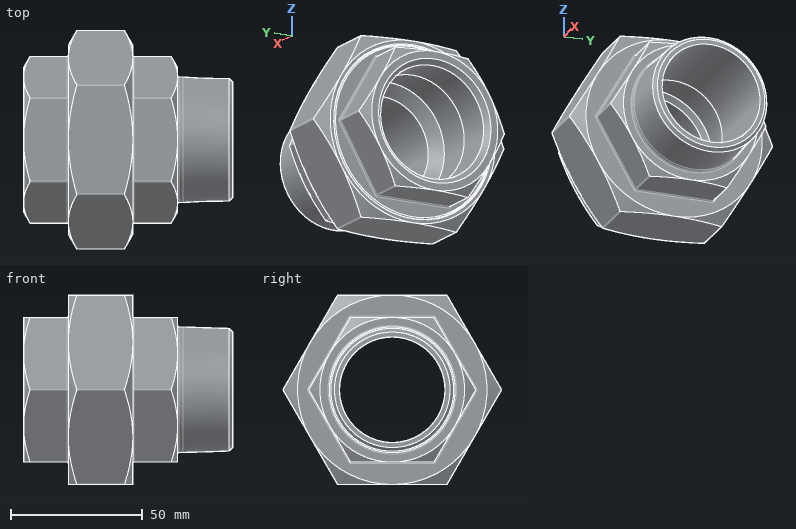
import cadquery as cq
import math


NUT_START = 17.0
NUT_END = 41.5
MALE_HEX_END = 58.5
TAPER_START = 60.5
TOTAL_LENGTH = 79.5

HEX_SIDES = 6
NUT_FLATS = 72.0
END_HEX_FLATS = 55.0
HEX_EDGE_RADIUS = 0.3
HEX_CHAMFER_ANGLE = 30.0
ENVELOPE_MARGIN = 1.0
ROOT_RADIUS = 0.5

COLLAR_RADIUS = 34.2
COLLAR_CHAMFER = 0.5
NUT_CLEARANCE = 0.3
CLEARANCE_DEPTH = 2.0

THREAD_RADIUS = 47.8 / 2
THREAD_TAPER = 1 / 16
THREAD_CHAMFER = 1.4

MOUTH_RADIUS = 24.5
FEMALE_THREAD_RADIUS = 22.45
FEMALE_THREAD_END = 17.0
RELIEF_RADIUS = 24.5
RELIEF_END = 36.0
BORE_RADIUS = 20.0


def corner_diameter(across_flats):
    """Distance across the sharp corners of a hexagon."""
    return across_flats / math.cos(math.pi / HEX_SIDES)


def hex_prism(across_flats, x_start, x_end):
    """Hexagonal bar along X with two flats facing +Z and -Z and lightly rounded corners."""
    prism = (
        cq.Workplane("YZ")
        .workplane(offset=x_start)
        .polygon(HEX_SIDES, corner_diameter(across_flats))
        .extrude(x_end - x_start)
    )
    return prism.edges("|X").fillet(HEX_EDGE_RADIUS)


def turned(profile):
    """Solid of revolution about X from a list of (x, radius) points."""
    return cq.Workplane("XZ").polyline(profile).close().revolve(360, (0, 0, 0), (1, 0, 0))


def chamfer_envelope(across_flats, x_start, x_end, chamfer_start, chamfer_end):
    """Round bar enclosing a hexagon, coned at the chosen ends from a circle touching the flats."""
    flat_radius = across_flats / 2
    outer_radius = corner_diameter(across_flats) / 2 + ENVELOPE_MARGIN
    setback = (outer_radius - flat_radius) * math.tan(math.radians(HEX_CHAMFER_ANGLE))
    profile = [(x_start, 0)]
    if chamfer_start:
        profile += [(x_start, flat_radius), (x_start + setback, outer_radius)]
    else:
        profile += [(x_start, outer_radius)]
    if chamfer_end:
        profile += [(x_end - setback, outer_radius), (x_end, flat_radius)]
    else:
        profile += [(x_end, outer_radius)]
    profile += [(x_end, 0)]
    return turned(profile)


def union_nut():
    """Large hexagon chamfered at both ends."""
    nut = hex_prism(NUT_FLATS, NUT_START, NUT_END)
    return nut.intersect(chamfer_envelope(NUT_FLATS, NUT_START, NUT_END, True, True))


def collar_clearance():
    """Ring cut into the nut face; its inner wall ends in the collar chamfer."""
    bottom = NUT_START + CLEARANCE_DEPTH
    gap_radius = COLLAR_RADIUS + NUT_CLEARANCE
    return turned([
        (NUT_START, COLLAR_RADIUS - COLLAR_CHAMFER),
        (NUT_START + COLLAR_CHAMFER, COLLAR_RADIUS),
        (bottom, COLLAR_RADIUS),
        (bottom, gap_radius),
        (NUT_START, gap_radius),
    ])


def hex_root(x_face, outward):
    """Concave fillet at the foot of an end hexagon on the nut face at x_face; outward is +1 or -1."""
    overlap = 2 * ROOT_RADIUS
    hex_ends = sorted([x_face - outward * overlap, x_face + outward * overlap])
    base = (
        cq.Workplane("YZ")
        .workplane(offset=x_face)
        .circle(COLLAR_RADIUS - COLLAR_CHAMFER)
        .extrude(-outward * overlap)
    )
    corner_radius = corner_diameter(END_HEX_FLATS) / 2
    foot_edges = cq.selectors.BoxSelector(
        (x_face - ROOT_RADIUS, -corner_radius, -corner_radius),
        (x_face + ROOT_RADIUS, corner_radius, corner_radius),
    )
    rim = cq.selectors.RadiusNthSelector(-1)
    return base.union(hex_prism(END_HEX_FLATS, *hex_ends)).edges(foot_edges - rim).fillet(ROOT_RADIUS)


def end_hex(x_start, x_end, chamfer_start):
    """End hexagon, chamfered only on its outer end."""
    prism = hex_prism(END_HEX_FLATS, x_start, x_end)
    envelope = chamfer_envelope(END_HEX_FLATS, x_start, x_end, chamfer_start, not chamfer_start)
    return prism.intersect(envelope)


def male_thread():
    """Short cylinder with a root fillet, then the 1:16 taper with an end chamfer."""
    chamfer_x = TOTAL_LENGTH - THREAD_CHAMFER
    small_radius = THREAD_RADIUS - (chamfer_x - TAPER_START) * THREAD_TAPER / 2
    return (
        cq.Workplane("XZ")
        .moveTo(MALE_HEX_END, 0)
        .lineTo(MALE_HEX_END, THREAD_RADIUS + ROOT_RADIUS)
        .radiusArc((MALE_HEX_END + ROOT_RADIUS, THREAD_RADIUS), -ROOT_RADIUS)
        .lineTo(TAPER_START, THREAD_RADIUS)
        .lineTo(chamfer_x, small_radius)
        .lineTo(TOTAL_LENGTH, small_radius - THREAD_CHAMFER)
        .lineTo(TOTAL_LENGTH, 0)
        .close()
        .revolve(360, (0, 0, 0), (1, 0, 0))
    )


def bore():
    """Chamfered female thread bore, wider relief with 45 degree ends, and the through bore."""
    mouth_depth = MOUTH_RADIUS - FEMALE_THREAD_RADIUS
    ramp_length = RELIEF_RADIUS - BORE_RADIUS
    relief_start = FEMALE_THREAD_END + RELIEF_RADIUS - FEMALE_THREAD_RADIUS
    return turned([
        (0, 0),
        (0, MOUTH_RADIUS),
        (mouth_depth, FEMALE_THREAD_RADIUS),
        (FEMALE_THREAD_END, FEMALE_THREAD_RADIUS),
        (relief_start, RELIEF_RADIUS),
        (RELIEF_END, RELIEF_RADIUS),
        (RELIEF_END + ramp_length, BORE_RADIUS),
        (TOTAL_LENGTH, BORE_RADIUS),
        (TOTAL_LENGTH, 0),
    ])


body = union_nut().cut(collar_clearance())
body = body.union(end_hex(0, NUT_START, True)).union(hex_root(NUT_START, -1))
body = body.union(end_hex(NUT_END, MALE_HEX_END, False)).union(hex_root(NUT_END, 1))
body = body.union(male_thread())
result = body.cut(bore())